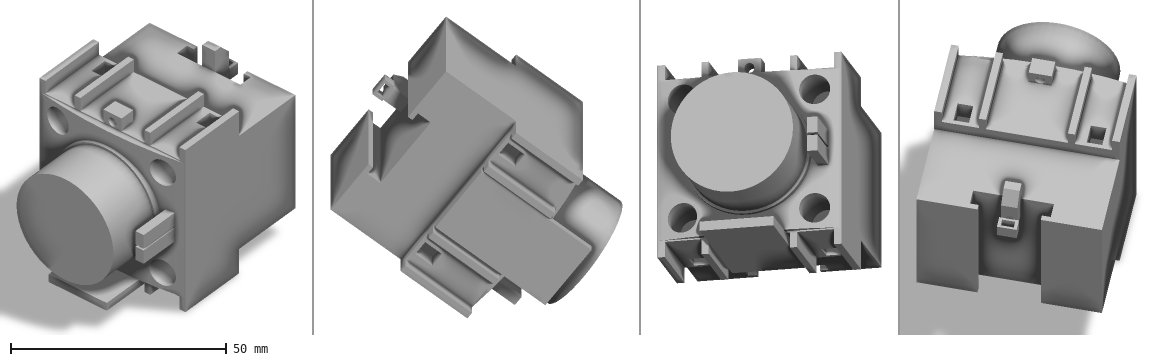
import cadquery as cq


body_width = 44.0
front_height = 47.0
front_depth = 19.55
rear_height = 32.85
body_depth = 40.1

floor_z = 19.8
channel_height = front_height / 2 - floor_z
side_wall = 1.8
divider_width = 1.7
divider_x = 10.55

terminal_x = 15.8
pocket_width = 3.7
pocket_length = 4.9
pocket_depth = 5.0
pocket_y = 16.1
screw_hole_diameter = 7.2
screw_hole_z = 14.5
screw_hole_depth = 12.0

cover_width = 43.0
cover_height = 38.9
cover_bow = 1.75

collar_diameter = 30.5
collar_front = 2.65
knob_diameter = 29.2
knob_front = 17.3

lever_width = 2.5
lever_height = 3.85
lever_front = 11.65
lever_x = 17.8
lever_gap = 0.6

plate_width = 17.6
plate_thickness = 2.25
plate_front = 12.7

boss_width = 5.5
boss_depth = 4.25
boss_hole_diameter = 2.4
boss_hole_z = 21.2

slot_width = 19.2
slot_mouth = 15.0
slot_depth = 5.05
lip_thickness = 1.3

latch_width = 3.85
latch_top = 22.45
latch_chamfer = 2.9
loop_width = 4.7
loop_depth = 2.8
loop_top = 14.8
loop_bottom = 11.55
loop_hole_width = 3.1
loop_hole_depth = 1.65

slot_floor_y = body_depth - slot_depth


def block(x_size, y_range, z_range, x_center=0.0):
    """Box centred on x_center, spanning the given Y and Z ranges."""
    y_min, y_max = y_range
    z_min, z_max = z_range
    return (
        cq.Workplane("XY")
        .box(x_size, y_max - y_min, z_max - z_min, centered=(True, False, False))
        .translate((x_center, y_min, z_min))
    )


def cylinder_along_y(diameter, y_start, y_end, x=0.0, z=0.0):
    """Cylinder along Y from y_start to y_end, centred at (x, z)."""
    axis_start = cq.Vector(x, y_start, z)
    return cq.Workplane(
        cq.Solid.makeCylinder(diameter / 2, y_end - y_start, axis_start, cq.Vector(0, 1, 0))
    )


def mirrored_in_z(shape):
    return shape.union(shape.mirror("XY"))


def make_body():
    front = block(body_width, (0, front_depth), (-front_height / 2, front_height / 2))
    rear = block(body_width, (0, body_depth), (-rear_height / 2, rear_height / 2))
    return front.union(rear)


def make_channels():
    """Open channels left between the side walls and the two dividers."""
    z_range = (floor_z, floor_z + channel_height)
    y_range = (0, front_depth)
    channels = block(body_width - 2 * side_wall, y_range, z_range)
    for side in (-1, 1):
        channels = channels.cut(block(divider_width, y_range, z_range, side * divider_x))
    return mirrored_in_z(channels)


def make_terminal_pockets():
    y_range = (pocket_y - pocket_length / 2, pocket_y + pocket_length / 2)
    z_range = (floor_z - pocket_depth, floor_z)
    left = block(pocket_width, y_range, z_range, -terminal_x)
    right = block(pocket_width, y_range, z_range, terminal_x)
    return mirrored_in_z(left.union(right))


def make_screw_holes():
    """Blind holes entering through the cover."""
    left = cylinder_along_y(screw_hole_diameter, -cover_bow, screw_hole_depth, -terminal_x, screw_hole_z)
    right = left.mirror("YZ")
    return mirrored_in_z(left.union(right))


def make_rear_slot():
    z_range = (-rear_height / 2, rear_height / 2)
    mouth = block(slot_mouth, (slot_floor_y, body_depth), z_range)
    undercut = block(slot_width, (slot_floor_y, body_depth - lip_thickness), z_range)
    return mouth.union(undercut)


def make_cover():
    """Cover bowed about Z, highest at its middle."""
    return (
        cq.Workplane("XY")
        .moveTo(-cover_width / 2, 0)
        .threePointArc((0, -cover_bow), (cover_width / 2, 0))
        .close()
        .extrude(cover_height / 2, both=True)
    )


def make_knob():
    collar = cylinder_along_y(collar_diameter, -collar_front, 0)
    knob = cylinder_along_y(knob_diameter, -knob_front, 0)
    return collar.union(knob)


def make_levers():
    z_start = lever_gap / 2
    lever = block(lever_width, (-lever_front, 0), (z_start, z_start + lever_height), lever_x)
    return mirrored_in_z(lever)


def make_plate():
    """Plate under the bottom channel floor, carried back over the front block."""
    return block(plate_width, (-plate_front, front_depth), (-floor_z - plate_thickness, -floor_z))


def make_boss():
    boss = block(boss_width, (0, boss_depth), (floor_z, front_height / 2))
    return boss.cut(cylinder_along_y(boss_hole_diameter, 0, boss_depth, z=boss_hole_z))


def make_latch():
    """Latch standing in the rear slot, with a pull loop behind it."""
    latch = (
        block(latch_width, (slot_floor_y, body_depth), (loop_bottom, latch_top))
        .edges(">Y and >Z")
        .chamfer(latch_chamfer)
    )
    loop_z = (loop_bottom, loop_top)
    loop_middle_y = body_depth + loop_depth / 2
    hole_y = (loop_middle_y - loop_hole_depth / 2, loop_middle_y + loop_hole_depth / 2)
    loop = block(loop_width, (body_depth, body_depth + loop_depth), loop_z)
    return latch.union(loop.cut(block(loop_hole_width, hole_y, loop_z)))


result = (
    make_body()
    .cut(make_channels())
    .cut(make_terminal_pockets())
    .cut(make_rear_slot())
    .union(make_cover())
    .cut(make_screw_holes())
    .union(make_knob())
    .union(make_levers())
    .union(make_plate())
    .union(make_boss())
    .union(make_latch())
)